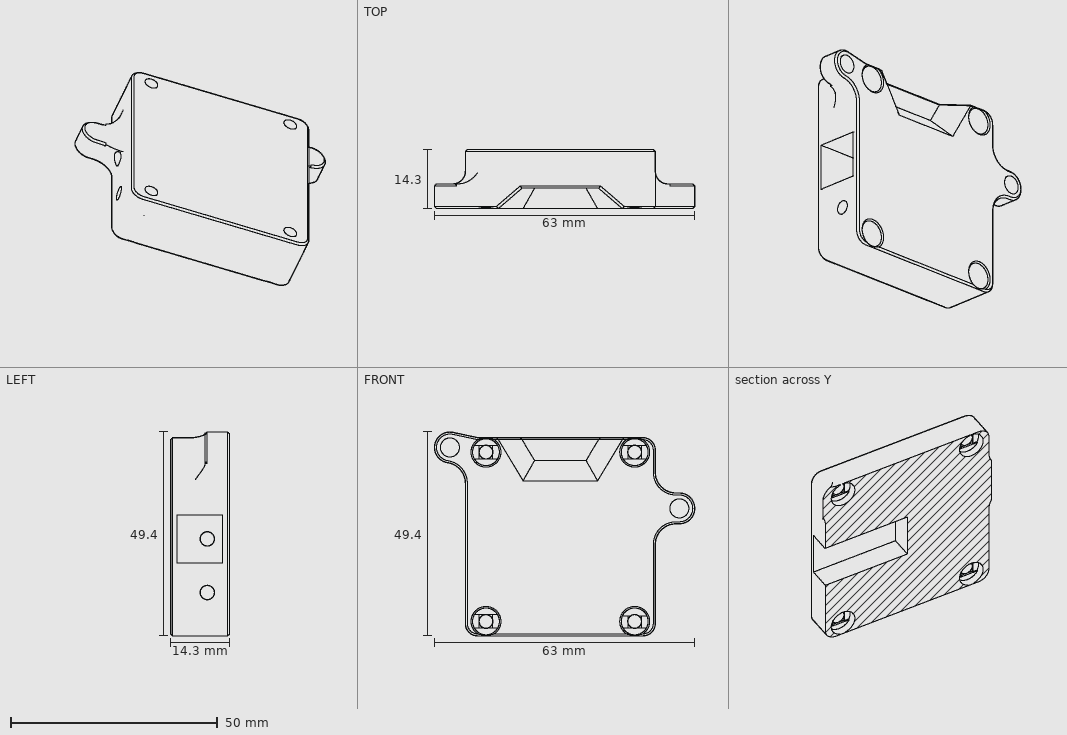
import cadquery as cq
import math

body_width = 46.0
body_height = 48.0
body_depth = 14.3
corner_radius = 3.0
edge_break = 0.5
half_width = body_width / 2
half_height = body_height / 2

lug_diameter = 7.5
lug_depth = 6.0
lug_blend_radius = 5.0
lug_root_radius = 3.0
lug_hole_diameter = 4.6
lug_hole_depth = 5.0
left_lug_x = -26.7
left_lug_z = 21.6
right_lug_x = 28.8
right_lug_z = 6.9
lug_radius = lug_diameter / 2

screw_spacing_x = 36.0
screw_spacing_z = 41.0
screw_diameter = 3.3
seat_width = 3.3
seat_step = 0.25
lower_right_seat_trim = 0.4
head_diameter = 6.5
head_depth = 9.0
head_chamfer = 0.4

recess_depth = 4.9
recess_bottom_z = 13.55
recess_bottom_half_width = 9.0
recess_flare = math.radians(31)

pocket_depth = half_width
pocket_front = 1.7
pocket_width = 11.1
pocket_height = 11.65
pocket_z = -0.5
cross_hole_diameter = 3.4
cross_hole_y = 5.4
lower_cross_hole_z = -13.5


def front_sketch():
    """Workplane on the front face; its normal points forward, along -Y."""
    return cq.Workplane("XZ")


def extrude_back(sketch, depth):
    """Extrude from the front face into the part, along +Y."""
    return sketch.extrude(-depth)


def make_block():
    outline = front_sketch().rect(body_width, body_height)
    return extrude_back(outline, body_depth).edges("|Y").fillet(corner_radius)


def make_left_lug(depth):
    """Corner lug: straight tangent on top, concave blend into the left side below."""
    corner_x = -half_width + corner_radius
    run = corner_x - left_lug_x
    rise = half_height - left_lug_z
    tangent_angle = math.atan2(rise, run) + math.acos(lug_radius / math.hypot(run, rise))
    tangent_x = left_lug_x + lug_radius * math.cos(tangent_angle)
    tangent_z = left_lug_z + lug_radius * math.sin(tangent_angle)

    blend_x = -half_width - lug_blend_radius
    centre_distance = lug_radius + lug_blend_radius
    blend_z = left_lug_z - math.sqrt(centre_distance**2 - (blend_x - left_lug_x) ** 2)
    share = lug_radius / centre_distance
    touch_x = left_lug_x + share * (blend_x - left_lug_x)
    touch_z = left_lug_z + share * (blend_z - left_lug_z)
    blend_reach = lug_blend_radius * math.sqrt(0.5)

    outline = (
        front_sketch()
        .moveTo(corner_x, half_height)
        .lineTo(tangent_x, tangent_z)
        .threePointArc((left_lug_x - lug_radius, left_lug_z), (touch_x, touch_z))
        .threePointArc((blend_x + blend_reach, blend_z + blend_reach), (-half_width, blend_z))
        .lineTo(corner_x, blend_z)
        .close()
    )
    return extrude_back(outline, depth)


def make_right_lug(depth):
    """Side lug: symmetric about its hole, with a concave blend above and below."""
    blend_end_x = half_width + lug_blend_radius
    blend_offset = lug_radius + lug_blend_radius
    blend_reach = lug_blend_radius * (1 - math.sqrt(0.5))
    arc_x = half_width + blend_reach
    arc_offset = lug_radius + blend_reach
    top = right_lug_z + lug_radius
    bottom = right_lug_z - lug_radius
    inner_x = half_width - corner_radius

    outline = (
        front_sketch()
        .moveTo(inner_x, right_lug_z + blend_offset)
        .lineTo(half_width, right_lug_z + blend_offset)
        .threePointArc((arc_x, right_lug_z + arc_offset), (blend_end_x, top))
        .lineTo(right_lug_x, top)
        .threePointArc((right_lug_x + lug_radius, right_lug_z), (right_lug_x, bottom))
        .lineTo(blend_end_x, bottom)
        .threePointArc((arc_x, right_lug_z - arc_offset), (half_width, right_lug_z - blend_offset))
        .lineTo(inner_x, right_lug_z - blend_offset)
        .close()
    )
    return extrude_back(outline, depth)


def cut_recess(part):
    """Trapezoidal recess, open at the top, with walls sloping in at 45 degrees to the front face."""
    overshoot = 1.25
    top_z = half_height + overshoot

    def section(inset):
        bottom_z = recess_bottom_z + inset
        side_inset = inset / math.cos(recess_flare)
        bottom_half = recess_bottom_half_width + inset * math.tan(recess_flare) - side_inset
        top_half = bottom_half + (top_z - bottom_z) * math.tan(recess_flare)
        return [
            (-bottom_half, bottom_z),
            (bottom_half, bottom_z),
            (top_half, top_z),
            (-top_half, top_z),
        ]

    cutter = (
        front_sketch()
        .polyline(section(0))
        .close()
        .workplane(offset=-recess_depth)
        .polyline(section(recess_depth))
        .close()
        .loft(ruled=True)
    )
    return part.cut(cutter)


def make_flared_block(block):
    """Block with a narrow flange at lug depth that meets its sides in a concave fillet."""
    fillet_clearance = 0.5
    flange_width = lug_root_radius + fillet_clearance
    flange = extrude_back(
        front_sketch().rect(body_width + 2 * flange_width, body_height + 2 * flange_width),
        lug_depth,
    ).edges("|Y").fillet(corner_radius + flange_width)
    margin = 0.05
    root_edges = cq.selectors.BoxSelector(
        (-half_width - margin, lug_depth - margin, -half_height - margin),
        (half_width + margin, lug_depth + margin, half_height + margin),
        boundingbox=True,
    )
    return block.union(flange).edges(root_edges).fillet(lug_root_radius)


def add_lug(part, make_lug, flared_block):
    """Lug plate with a broken back edge, plus the flared root that joins it to the block."""
    plate = make_lug(lug_depth).faces(">Y").chamfer(edge_break)
    root = make_lug(lug_depth + lug_root_radius).intersect(flared_block)
    return part.union(plate).union(root)


def break_recess_rim(part):
    """Chamfer where the recess walls and floor meet the top side."""
    side_slope = 1 / math.cos(recess_flare)
    front_y = -edge_break

    def section(z, outset):
        mouth_half = recess_bottom_half_width + (z - recess_bottom_z) * math.tan(recess_flare)
        side_half = mouth_half + outset * math.hypot(1, side_slope)
        floor_y = recess_depth + outset
        front_half = side_half - front_y * side_slope
        floor_half = side_half - floor_y * side_slope
        return [
            (-front_half, front_y),
            (front_half, front_y),
            (floor_half, floor_y),
            (-floor_half, floor_y),
        ]

    base_z = half_height - edge_break
    cutter = (
        cq.Workplane("XY", origin=(0, 0, base_z))
        .polyline(section(base_z, 0))
        .close()
        .workplane(offset=edge_break)
        .polyline(section(half_height, edge_break))
        .close()
        .loft(ruled=True)
    )
    return part.cut(cutter)


def drill_screw_hole(part, x, z, seat_trim):
    """Chamfered counterbore, then a full-width slot, a square and a round bore, stepping down.

    The seat trim lowers the top edge of the slot and square.
    """
    head_radius = head_diameter / 2
    slot_depth = head_depth + seat_step
    square_depth = slot_depth + seat_step
    seat_height = seat_width - seat_trim
    centre = front_sketch().center(x, z)
    seat_centre = centre.center(0, -seat_trim / 2)

    counterbore = (
        cq.Workplane("XY", origin=(x, 0, z))
        .polyline(
            [
                (0, 0),
                (head_radius + head_chamfer, 0),
                (head_radius, head_chamfer),
                (head_radius, head_depth),
                (0, head_depth),
            ]
        )
        .close()
        .revolve(360, (0, 0), (0, 1))
    )
    slot = extrude_back(centre.circle(head_radius), slot_depth).intersect(
        extrude_back(seat_centre.rect(head_diameter, seat_height), slot_depth)
    )
    square = extrude_back(seat_centre.rect(seat_width, seat_height), square_depth)
    bore = extrude_back(centre.circle(screw_diameter / 2), body_depth)
    return part.cut(counterbore).cut(slot).cut(square).cut(bore)


def drill_lug_hole(part, x, z):
    hole = front_sketch().center(x, z).circle(lug_hole_diameter / 2)
    return part.cut(extrude_back(hole, lug_hole_depth))


def cut_side_pocket(part):
    pocket = cq.Workplane("XY").box(
        pocket_depth, pocket_width, pocket_height, centered=(False, False, True)
    )
    return part.cut(pocket.translate((-half_width, pocket_front, pocket_z)))


def drill_cross_hole(part, z):
    """Round hole from the left side through to beyond the right lug."""
    hole_length = half_width + right_lug_x + lug_radius
    hole = cq.Workplane("YZ", origin=(-half_width, cross_hole_y, z)).circle(cross_hole_diameter / 2)
    return part.cut(hole.extrude(hole_length))


block = make_block()
flared_block = make_flared_block(block)
part = block.faces(">Y").chamfer(edge_break)
for make_lug in (make_left_lug, make_right_lug):
    part = add_lug(part, make_lug, flared_block)
part = part.faces("<Y").chamfer(edge_break)

part = cut_recess(part)
part = break_recess_rim(part)

for x in (-screw_spacing_x / 2, screw_spacing_x / 2):
    for z in (-screw_spacing_z / 2, screw_spacing_z / 2):
        is_lower_right = x > 0 and z < 0
        part = drill_screw_hole(part, x, z, lower_right_seat_trim if is_lower_right else 0)

part = drill_lug_hole(part, left_lug_x, left_lug_z)
part = drill_lug_hole(part, right_lug_x, right_lug_z)

part = cut_side_pocket(part)
for z in (pocket_z, lower_cross_hole_z):
    part = drill_cross_hole(part, z)

result = part